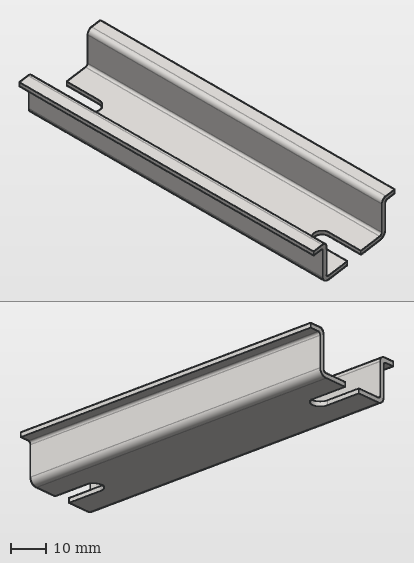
import cadquery as cq

rail_length = 110.0
rail_width = 35.0
rail_height = 15.0

sheet = 1.5
channel_width = 27.0
inner_bend = 0.9
outer_bend = inner_bend + sheet
lip_outer_bend = 1.8

slot_width = 5.8
slot_depth = 15.0


def bar(width, bottom, top):
    """Full-length bar centred on Y between two heights."""
    return (
        cq.Workplane("XY")
        .workplane(offset=bottom)
        .rect(rail_length, width)
        .extrude(top - bottom)
    )


def long_edges(half_width, height):
    """Selector for the pair of lengthwise edges at +/- half_width and the given height."""
    reach = 0.01
    boxes = [
        cq.selectors.BoxSelector(
            (-rail_length, y - reach, height - reach),
            (rail_length, y + reach, height + reach),
            boundingbox=False,
        )
        for y in (-half_width, half_width)
    ]
    return boxes[0] + boxes[1]


def hat_section():
    """Channel with outward lips, made from one thickness of sheet with rounded bends."""
    outer_half = channel_width / 2
    inner_half = outer_half - sheet
    lip_bottom = rail_height - sheet

    channel = bar(channel_width, 0, rail_height)
    lips = bar(rail_width, lip_bottom, rail_height)
    cavity = bar(2 * inner_half, sheet, rail_height)
    rail = channel.union(lips).cut(cavity)

    rail = rail.edges(long_edges(outer_half, 0)).fillet(outer_bend)
    rail = rail.edges(long_edges(inner_half, sheet)).fillet(inner_bend)
    rail = rail.edges(long_edges(inner_half, rail_height)).fillet(lip_outer_bend)
    return rail.edges(long_edges(outer_half, lip_bottom)).fillet(inner_bend)


def end_slots():
    """Round-ended slots through the floor, open at both rail ends."""
    return (
        cq.Workplane("XY")
        .pushPoints([(-rail_length / 2, 0), (rail_length / 2, 0)])
        .slot2D(2 * slot_depth, slot_width)
        .extrude(sheet)
    )


result = hat_section().cut(end_slots())